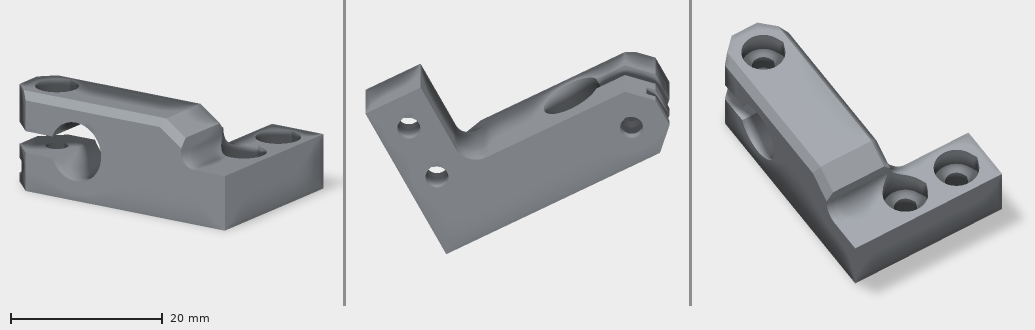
import cadquery as cq
import math

length = 34.75
width = 23.0
height = 13.5
overshoot = 0.35

arm_width = 10.0
arm_end_x = 27.8
slope_start_x = 24.7
slope_drop = 2.15
arm_end_fillet = 2.0
edge_chamfer = 1.0
nose_chamfer = 3.0

block_width = 8.2
block_height = 7.5
block_x = length - block_width
cove_radius = 3.0

bore_diameter = 8.1
bore_x = 10.98
bore_z = height / 2
slit_height = 3.0

hole_diameter = 3.02
counterbore_depth = 3.0
clamp_counterbore_diameter = 5.8
clamp_screw_x = 4.6
clamp_screw_y = arm_width / 2
block_counterbore_diameter = 6.0
block_screw_x = block_x + block_width / 2
block_screw_y = 10.5
block_screw_pitch = 8.0
block_screw_count = 2
tip_angle = math.radians(22.5)

nut_slot_width = 5.77
nut_slot_height = 1.98
nut_slot_z = 1.3
nut_slot_depth = clamp_screw_x + nut_slot_width / 2


def box(x0, x1, y0, y1, z0, z1):
    return cq.Workplane("XY").box(x1 - x0, y1 - y0, z1 - z0, centered=False).translate((x0, y0, z0))


def quarter_arc_middle(center_u, center_v, radius):
    """Middle of the quarter arc on the lower left of its centre."""
    offset = radius * math.sqrt(0.5)
    return center_u - offset, center_v - offset


def make_arm():
    blank = (
        cq.Workplane("XZ")
        .moveTo(0, 0)
        .lineTo(arm_end_x, 0)
        .lineTo(arm_end_x, height - slope_drop)
        .lineTo(slope_start_x, height)
        .lineTo(0, height)
        .close()
        .extrude(-arm_width)
    )
    top_edges = cq.selectors.BoxSelector(
        (-overshoot, -overshoot, height - slope_drop),
        (arm_end_x, arm_width + overshoot, height + overshoot),
    )
    blank = blank.edges(top_edges).edges("not |Y").chamfer(edge_chamfer)
    nose = (
        box(0, length, 0, arm_width, 0, height)
        .edges("|Z and <X")
        .chamfer(nose_chamfer)
    )
    return blank.intersect(nose)


def make_end_fillet(y0, y1):
    """Concave strip between the arm's end face and the block top."""
    arc_x = arm_end_x + arm_end_fillet
    arc_z = block_height + arm_end_fillet
    return (
        cq.Workplane("XZ", origin=(0, y0, 0))
        .moveTo(arm_end_x, block_height)
        .lineTo(arc_x, block_height)
        .threePointArc(quarter_arc_middle(arc_x, arc_z, arm_end_fillet), (arm_end_x, arc_z))
        .close()
        .extrude(y0 - y1)
    )


def make_cove():
    """Concave blend along the arm side, following both the block's side and its top."""
    cove_y = arm_width + cove_radius
    cove_x = block_x - cove_radius
    cove_z = block_height + cove_radius
    offset = cove_radius * math.sqrt(0.5)
    plan = (
        cq.Workplane("XY")
        .moveTo(cove_x, arm_width)
        .threePointArc((cove_x + offset, cove_y - offset), (block_x, cove_y))
        .lineTo(length, cove_y)
        .lineTo(length, arm_width)
        .close()
        .extrude(cove_z)
    )
    side = (
        cq.Workplane("YZ")
        .moveTo(arm_width, 0)
        .lineTo(cove_y, 0)
        .lineTo(cove_y, block_height)
        .threePointArc(quarter_arc_middle(cove_y, cove_z, cove_radius), (arm_width, cove_z))
        .close()
        .extrude(length)
    )
    arm_extent = box(0, arm_end_x, arm_width, cove_y, 0, cove_z)
    arm_extent = arm_extent.union(make_end_fillet(arm_width, cove_y))
    return plan.intersect(side).intersect(arm_extent)


def pointed_hole(x, y, diameter, z0, z1):
    """Round cutter along Z with a shallow pointed tip toward +Y."""
    radius = diameter / 2
    tangent_x = radius * math.sin(tip_angle)
    tangent_y = radius * math.cos(tip_angle)
    return (
        cq.Workplane("XY", origin=(x, y, z0))
        .moveTo(tangent_x, tangent_y)
        .threePointArc((0, -radius), (-tangent_x, tangent_y))
        .lineTo(0, radius / math.cos(tip_angle))
        .close()
        .extrude(z1 - z0)
    )


def screw_hole(x, y, counterbore_diameter, top_z):
    through = pointed_hole(x, y, hole_diameter, -overshoot, height)
    seat_z = top_z - counterbore_depth
    return through.union(pointed_hole(x, y, counterbore_diameter, seat_z, height + overshoot))


def make_clamp_opening():
    bore = (
        cq.Workplane("XZ")
        .center(bore_x, bore_z)
        .circle(bore_diameter / 2)
        .extrude(-arm_width)
    )
    slit_z = bore_z - slit_height / 2
    return bore.union(box(0, bore_x, 0, arm_width, slit_z, slit_z + slit_height))


def make_nut_slot():
    y0 = clamp_screw_y - nut_slot_width / 2
    return box(0, nut_slot_depth, y0, y0 + nut_slot_width, nut_slot_z, nut_slot_z + nut_slot_height)


block = box(block_x, length, 0, width, 0, block_height)
result = make_arm().union(block).union(make_end_fillet(0, arm_width)).union(make_cove())
result = result.cut(make_clamp_opening()).cut(make_nut_slot())
result = result.cut(screw_hole(clamp_screw_x, clamp_screw_y, clamp_counterbore_diameter, height))
for index in range(block_screw_count):
    screw_y = block_screw_y + index * block_screw_pitch
    result = result.cut(screw_hole(block_screw_x, screw_y, block_counterbore_diameter, block_height))